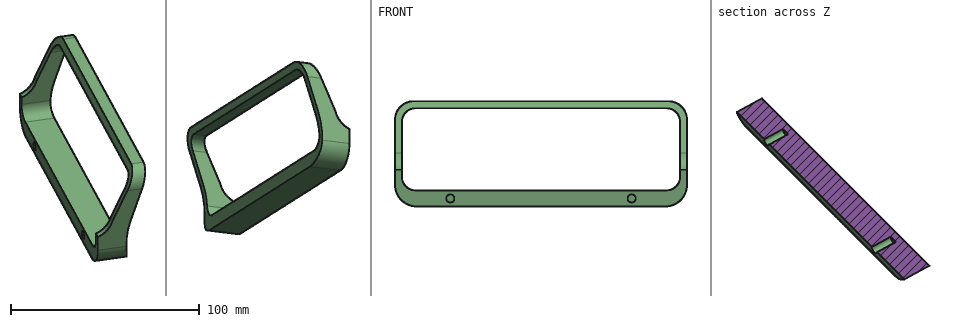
import cadquery as cq
import math

width = 155.0
depth = 27.9
height = 56.0

wall = 3.9
bottom_bar = 8.7
top_outer_radius = 10.0
top_inner_radius = 7.0
bottom_outer_radius = 11.8
bottom_inner_radius = top_inner_radius

front_face_height = 19.7
front_arc_mid = (4.3, 22.3)
front_arc_end = (8.2, 28.7)
top_thickness = 6.8

back_arc_radius = 43.4
back_waist_y = 15.8
back_waist_z = 13.0
back_lean = 18.6

hole_diameter = 4.3
hole_spacing = 96.1
hole_height = bottom_bar / 2
hole_depth = 12.4


def back_arc_point(angle):
    """Point on the back arc at an angle (radians) above its waist."""
    y = back_waist_y + back_arc_radius * (1 - math.cos(angle))
    z = back_waist_z + back_arc_radius * math.sin(angle)
    return (y, z)


def side_body():
    """Side profile extruded across the full width."""
    foot_angle = -math.asin(back_waist_z / back_arc_radius)
    return (
        cq.Workplane("YZ")
        .moveTo(0, 0)
        .lineTo(0, front_face_height)
        .threePointArc(front_arc_mid, front_arc_end)
        .lineTo(depth - top_thickness, height)
        .lineTo(depth, height)
        .lineTo(*back_arc_point(math.radians(back_lean)))
        .threePointArc(back_arc_point(0), back_arc_point(foot_angle))
        .close()
        .extrude(width / 2, both=True)
    )


def rounded_prism(half_width, low, high, bottom_radius, top_radius):
    """Prism along Y with separate corner radii at the bottom and the top."""
    return (
        cq.Workplane("XY")
        .box(2 * half_width, depth, high - low, centered=(True, False, False))
        .translate((0, 0, low))
        .edges("(|Y) and (<Z)")
        .fillet(bottom_radius)
        .edges("(|Y) and (>Z)")
        .fillet(top_radius)
    )


def mounting_holes():
    """Cylinders for the holes, running back from the front face."""
    return (
        cq.Workplane("XZ")
        .pushPoints([(side * hole_spacing / 2, hole_height) for side in (-1, 1)])
        .circle(hole_diameter / 2)
        .extrude(-hole_depth)
    )


outline = rounded_prism(width / 2, 0, height, bottom_outer_radius, top_outer_radius)
window = rounded_prism(width / 2 - wall, bottom_bar, height - wall, bottom_inner_radius, top_inner_radius)

frame = side_body().intersect(outline).cut(window)
result = frame.cut(mounting_holes())